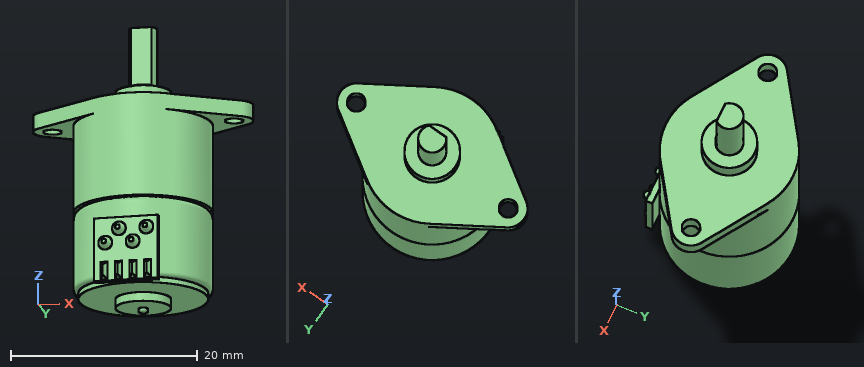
import cadquery as cq
import math


front_boss_height = 2.02
boss_radius = 3.0
shaft_radius = 1.5
shaft_length = 7.0
flat_length = 6.5
flat_distance = 1.0
shaft_top = front_boss_height + shaft_length

flange_span = 24.2
flange_thickness = 1.75
mount_hole_spacing = 20.0
mount_hole_diameter = 2.0
ear_radius = (flange_span - mount_hole_spacing) / 2

total_length = 31.5
can_radius = 7.5
upper_can_depth = 11.4
lower_can_depth = 20.38
lower_can_top_rounding = 0.75
lower_can_bottom_rounding = 0.47
end_plate_radius = 7.0
end_plate_depth = 21.0
rear_boss_depth = 22.0
rear_tip_radius = 0.55
rear_tip_depth = total_length - shaft_top

board_size = 7.0
board_thickness = 0.8
board_bottom = -end_plate_depth
board_top = board_bottom + board_size
board_back = -can_radius
board_face = board_back - board_thickness

stud_base_radius = 0.75
stud_tip_radius = 0.25
stud_height = 0.72
stud_pitch = 1.5
upper_stud_drop = 1.25

terminal_count = 4
terminal_pitch = 1.6
terminal_width = 0.8
terminal_length = 2.0
terminal_edge_gap = 0.13
terminal_height = 0.57


def row_positions(count, pitch):
    """X positions of a row spaced evenly about X = 0."""
    return [(index - (count - 1) / 2) * pitch for index in range(count)]


def disc(radius, top, bottom):
    """Cylinder on the motor axis between two heights."""
    return cq.Workplane("XY").workplane(offset=bottom).circle(radius).extrude(top - bottom)


def make_flange():
    """Plate with two ears joined to the can circle by tangent straight edges."""
    hole_x = mount_hole_spacing / 2
    normal_x = (can_radius - ear_radius) / hole_x
    normal_y = math.sqrt(1 - normal_x**2)
    can_x = can_radius * normal_x
    can_y = can_radius * normal_y
    ear_x = hole_x + ear_radius * normal_x
    ear_y = ear_radius * normal_y
    return (
        cq.Workplane("XY")
        .moveTo(-can_x, can_y)
        .threePointArc((0, can_radius), (can_x, can_y))
        .lineTo(ear_x, ear_y)
        .threePointArc((flange_span / 2, 0), (ear_x, -ear_y))
        .lineTo(can_x, -can_y)
        .threePointArc((0, -can_radius), (-can_x, -can_y))
        .lineTo(-ear_x, -ear_y)
        .threePointArc((-flange_span / 2, 0), (-ear_x, ear_y))
        .close()
        .pushPoints([(-hole_x, 0), (hole_x, 0)])
        .circle(mount_hole_diameter / 2)
        .extrude(-flange_thickness)
    )


def make_shaft():
    """Output shaft with a flat facing -Y that stops just above the boss."""
    shaft = disc(shaft_radius, shaft_top, 0)
    flat_cut = (
        cq.Workplane("XY")
        .workplane(offset=shaft_top - flat_length)
        .center(0, -flat_distance - shaft_radius / 2)
        .rect(2 * shaft_radius, shaft_radius)
        .extrude(flat_length)
    )
    return shaft.cut(flat_cut)


def make_rear_tip():
    """Small shaft end whose rim is rounded from both faces; the arcs meet at mid height."""
    rim_radius = (rear_tip_depth - rear_boss_depth) / 2
    face_radius = rear_tip_radius - rim_radius
    mid_depth = rear_boss_depth + rim_radius
    arc_offset = rim_radius * math.sqrt(0.5)
    return (
        cq.Workplane("XZ")
        .moveTo(0, -rear_boss_depth)
        .lineTo(face_radius, -rear_boss_depth)
        .threePointArc((face_radius + arc_offset, -mid_depth + arc_offset), (rear_tip_radius, -mid_depth))
        .threePointArc((face_radius + arc_offset, -mid_depth - arc_offset), (face_radius, -rear_tip_depth))
        .lineTo(0, -rear_tip_depth)
        .close()
        .revolve(360, (0, 0, 0), (0, 1, 0))
    )


def make_motor():
    """Shaft, flange, both cans and the rear end as one solid."""
    lower_can = (
        disc(can_radius, -upper_can_depth, -lower_can_depth)
        .faces(">Z")
        .edges()
        .fillet(lower_can_top_rounding)
        .faces("<Z")
        .edges()
        .fillet(lower_can_bottom_rounding)
    )
    return (
        disc(can_radius, 0, -upper_can_depth)
        .union(make_flange())
        .union(disc(boss_radius, front_boss_height, 0))
        .union(make_shaft())
        .union(lower_can)
        .union(disc(end_plate_radius, -lower_can_depth, -end_plate_depth))
        .union(disc(boss_radius, -end_plate_depth, -rear_boss_depth))
        .union(make_rear_tip())
    )


def make_stud(x, z):
    """Conical solder stud standing on the board face."""
    return cq.Workplane(
        cq.Solid.makeCone(
            stud_base_radius,
            stud_tip_radius,
            stud_height,
            cq.Vector(x, board_face, z),
            cq.Vector(0, -1, 0),
        )
    )


def make_terminal(x):
    """Hip-roof terminal standing just above the board's bottom edge."""
    half_width = terminal_width / 2
    bottom = board_bottom + terminal_edge_gap
    top = bottom + terminal_length
    ridge_y = board_face - terminal_height
    ridge = (
        cq.Workplane("YZ", origin=(x - half_width, 0, 0))
        .moveTo(board_face, bottom)
        .lineTo(ridge_y, bottom + half_width)
        .lineTo(ridge_y, top - half_width)
        .lineTo(board_face, top)
        .close()
        .extrude(terminal_width)
    )
    gable = (
        cq.Workplane("XY", origin=(x, board_face, bottom))
        .moveTo(-half_width, 0)
        .lineTo(0, -terminal_height)
        .lineTo(half_width, 0)
        .close()
        .extrude(terminal_length)
    )
    return ridge.intersect(gable)


def make_terminal_board():
    """Square board touching the can, with staggered studs and a row of terminals."""
    board = (
        cq.Workplane("XY")
        .box(board_size, board_thickness, board_size, centered=(True, False, False))
        .translate((0, board_face, board_bottom))
    )
    for index, x in enumerate(row_positions(terminal_count, stud_pitch)):
        upper_row = index % 2 == 1
        drop = upper_stud_drop if upper_row else upper_stud_drop + stud_pitch
        board = board.union(make_stud(x, board_top - drop))
    for x in row_positions(terminal_count, terminal_pitch):
        board = board.union(make_terminal(x))
    return board


motor = make_motor()
terminal_board = make_terminal_board()

result = cq.Compound.makeCompound([motor.val(), terminal_board.val()])